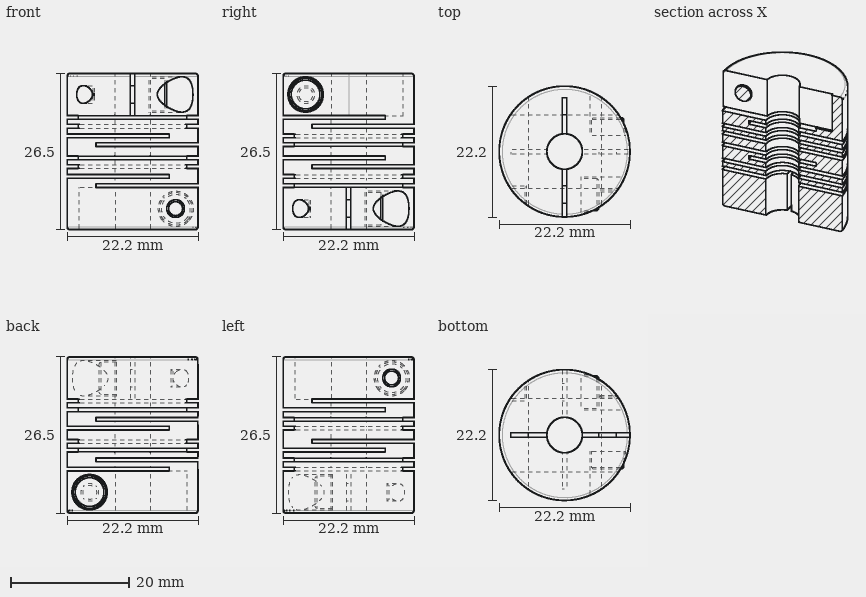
import cadquery as cq

length = 26.5
body_radius = 11.1
rim_fillet = 0.5
bore_radius = 3.0
mid_height = length / 2

slot_height = 0.6
slot_reach = 6.2
slot_offsets = [5.78, 4.3, 2.65, 1.17, -1.09, -2.57, -4.21, -5.78]
slot_sides = ["-Y", "+Y", "-X", "+X"] * 2
turn_from_minus_y = {"-Y": 0, "+X": 90, "+Y": 180, "-X": 270}

hub_height = mid_height - slot_offsets[0] - slot_height / 2
slit_width = 0.72
slit_reach = 9.15

screw_offset = 7.3
screw_depth = 3.58
screw_diameter = 3.0
screw_radius = screw_diameter / 2
screw_tip = -6.78
tip_chamfer = 0.32
head_radius = 2.75
head_height = 3.0
head_top = 5.75
head_chamfer = 0.32
head_seat = head_top - head_height
counterbore_radius = 3.0


def rod_along_x(radius, start, end):
    """Cylinder along X on the axis of the clamp screw of the upper hub."""
    return (
        cq.Workplane("YZ", origin=(start, -screw_offset, length - screw_depth))
        .circle(radius)
        .extrude(end - start)
    )


def slot_cutter(side, height):
    """Flat slab that opens on the given side, centred at the given height."""
    slab = cq.Workplane("XY").box(
        2 * body_radius, body_radius + slot_reach, slot_height, centered=(True, False, True)
    )
    slab = slab.translate((0, -body_radius, height))
    return slab.rotate((0, 0, 0), (0, 0, 1), turn_from_minus_y[side])


def clamp_cutter():
    """Slit, screw hole and counterbore of the upper hub."""
    slit = (
        cq.Workplane("XY", origin=(0, -body_radius, length - hub_height))
        .box(slit_width, body_radius + slit_reach, hub_height, centered=(True, False, False))
    )
    screw_hole = rod_along_x(screw_radius, -body_radius, 0)
    counterbore = rod_along_x(counterbore_radius, head_seat, body_radius)
    return slit.union(screw_hole).union(counterbore)


def clamp_screw():
    """Cap screw of the upper hub, with its head towards +X."""
    shank = rod_along_x(screw_radius, screw_tip, head_seat).faces("<X").chamfer(tip_chamfer)
    head = rod_along_x(head_radius, head_seat, head_top).faces(">X").chamfer(head_chamfer)
    return shank.union(head)


def on_lower_hub(shape):
    """Copy of an upper hub shape, mirrored to the other end and turned a quarter about Z."""
    return shape.mirror("XY", (0, 0, mid_height)).rotate((0, 0, 0), (0, 0, 1), 90)


body = cq.Workplane("XY").circle(body_radius).extrude(length).edges().fillet(rim_fillet)
body = body.cut(cq.Workplane("XY").circle(bore_radius).extrude(length))

for side, offset in zip(slot_sides, slot_offsets):
    body = body.cut(slot_cutter(side, mid_height + offset))

clamp = clamp_cutter()
screw = clamp_screw()
body = body.cut(clamp).cut(on_lower_hub(clamp))
result = body.union(screw).union(on_lower_hub(screw))